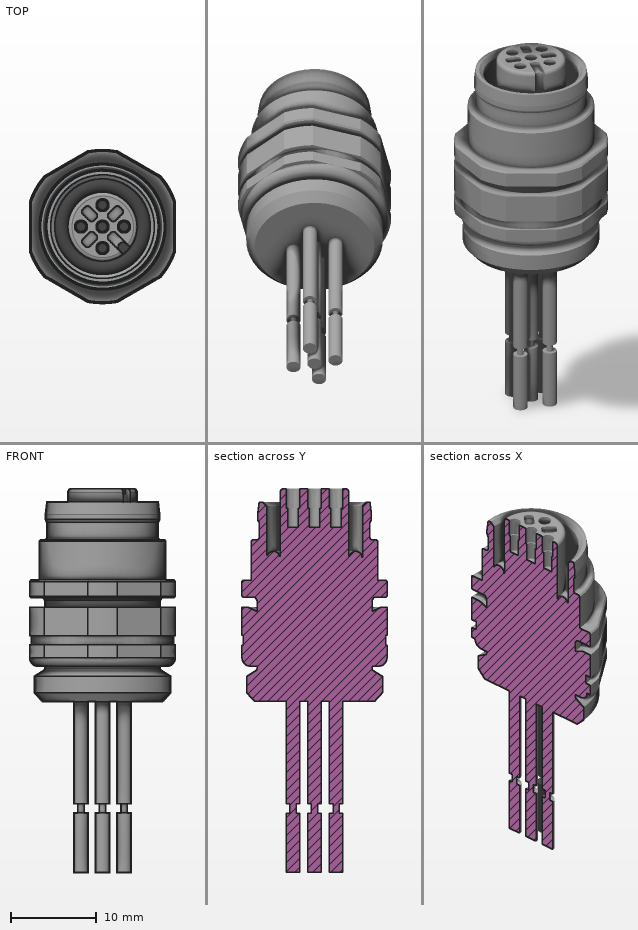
import cadquery as cq
import math

total_height = 44.9
rim_z = 43.35
collar_taper_z = 41.9
collar_chamfer_z = 41.3
collar_bottom_z = 41.17
neck_top_z = 40.95
neck_bottom_z = 39.15
body_top_z = 38.95
top_nut_z = 34.2
top_nut_bottom_z = 32.15
relief_bottom_z = 31.85
middle_nut_z = 31.03
middle_nut_bottom_z = 27.7
lower_nut_z = 26.63
lower_nut_bottom_z = 25.15
waist_z = 23.9
flange_cone_z = 23.6
flange_z = 22.95
flange_chamfer_z = 21.05
flange_bottom_z = 20.0
wire_gap_top_z = 8.05
wire_gap_bottom_z = 7.0

collar_top_d = 13.0
collar_d = 13.4
collar_bottom_d = 13.3
neck_d = 13.0
neck_fillet_d = 13.45
body_d = 14.8
body_chamfer = 0.2
thread_d = 13.5
relief_d = 13.9
spacer_d = 16.7
flange_fillet_d = 13.85
flange_d = 16.0
flange_bottom_d = 14.0

nut_across_flats = 17.0
nut_corner_d = 18.0
nut_chamfer = 0.2
countersink_d = 15.45
countersink_depth = 0.45
seal_fillet = 1.05
seal_z = lower_nut_bottom_z - seal_fillet

bore_d = 11.2
bore_mouth_d = 12.12
bore_lead_in = (bore_mouth_d - bore_d) / 2
bore_floor_z = 36.8
insert_d = 8.1
insert_fillet = 0.45

contact_pitch_r = 2.5
contact_hole_d = 1.5
contact_hole_depth = 2.25
contact_bore_d = 1.15
contact_bore_depth = 4.5
slot_w = 1.15
slot_inner_r = 1.2
slot_outer_r = 3.05
slot_corner_r = 0.35
slot_depth = 0.6
key_w = slot_w
key_center_r = 3.4
key_depth = 6.3
wire_d = 1.65
core_d = 0.75

contact_points = [(0, 0)] + [
    (contact_pitch_r * math.cos(math.radians(a)), contact_pitch_r * math.sin(math.radians(a)))
    for a in (0, 90, 180, 270)
]
slot_angles = (45, 135, 225)
key_angle = 315


def cylinder(diameter, bottom_z, top_z):
    return cq.Workplane("XY").workplane(offset=bottom_z).circle(diameter / 2).extrude(top_z - bottom_z)


def cone(bottom_d, top_d, bottom_z, top_z):
    solid = cq.Solid.makeCone(bottom_d / 2, top_d / 2, top_z - bottom_z, cq.Vector(0, 0, bottom_z))
    return cq.Workplane("XY").newObject([solid])


def nut(bottom_z, top_z):
    """Hexagon with flats facing +X and -X and its corners turned down to a cylinder."""
    corner_to_corner = nut_across_flats / math.cos(math.radians(30))
    prism = (
        cq.Workplane("XY").workplane(offset=bottom_z)
        .transformed(rotate=(0, 0, 30))
        .polygon(6, corner_to_corner).extrude(top_z - bottom_z)
    )
    return prism.intersect(cylinder(nut_corner_d, bottom_z, top_z))


def make_shell():
    """Turned body from the collar rim down to the end flange."""
    return (
        cq.Workplane("XZ")
        .moveTo(0, rim_z)
        .lineTo(collar_top_d / 2, rim_z)
        .lineTo(collar_d / 2, collar_taper_z)
        .lineTo(collar_d / 2, collar_chamfer_z)
        .lineTo(collar_bottom_d / 2, collar_bottom_z)
        .lineTo(neck_d / 2, neck_top_z)
        .lineTo(neck_d / 2, neck_bottom_z)
        .tangentArcPoint((neck_fillet_d / 2, body_top_z), relative=False)
        .lineTo(body_d / 2 - body_chamfer, body_top_z)
        .lineTo(body_d / 2, body_top_z - body_chamfer)
        .lineTo(body_d / 2, top_nut_bottom_z)
        .lineTo(relief_d / 2, top_nut_bottom_z)
        .lineTo(thread_d / 2, relief_bottom_z)
        .lineTo(thread_d / 2, waist_z)
        .tangentArcPoint((flange_fillet_d / 2, flange_cone_z), relative=False)
        .lineTo(flange_d / 2, flange_z)
        .lineTo(flange_d / 2, flange_chamfer_z)
        .lineTo(flange_bottom_d / 2, flange_bottom_z)
        .lineTo(0, flange_bottom_z)
        .close().revolve(360, (0, 0), (0, 1))
    )


def make_nuts():
    top_nut = nut(top_nut_bottom_z, top_nut_z).faces("<Z or >Z").chamfer(nut_chamfer)
    middle_nut = nut(middle_nut_bottom_z, middle_nut_z)
    middle_nut = middle_nut.cut(
        cone(thread_d, countersink_d, middle_nut_z - countersink_depth, middle_nut_z)
    )
    spacer = cylinder(spacer_d, lower_nut_z, middle_nut_bottom_z)
    lower_nut = nut(lower_nut_bottom_z, lower_nut_z)
    seal = cylinder(nut_across_flats, seal_z, lower_nut_z)
    seal = seal.faces("<Z").edges().fillet(seal_fillet)
    return top_nut.union(middle_nut).union(spacer).union(lower_nut).union(seal)


def make_bore():
    """Annular cavity around the insert; its floor is the upper half of a sealing ring."""
    cavity = cylinder(bore_d, bore_floor_z, rim_z)
    cavity = cavity.union(cone(bore_d, bore_mouth_d, rim_z - bore_lead_in, rim_z))
    ring_r = (bore_d - insert_d) / 4
    ring_center_r = (bore_d + insert_d) / 4
    ring = (
        cq.Workplane("XZ").center(ring_center_r, bore_floor_z).circle(ring_r)
        .revolve(360, (-ring_center_r, 0), (-ring_center_r, 1))
    )
    return cavity.cut(ring)


def make_insert():
    insert = cylinder(insert_d, bore_floor_z, total_height)
    return insert.faces(">Z").edges().fillet(insert_fillet)


def make_contact_holes():
    face = cq.Workplane("XY").workplane(offset=total_height).pushPoints(contact_points)
    holes = face.circle(contact_hole_d / 2).extrude(-contact_hole_depth)
    return holes.union(face.circle(contact_bore_d / 2).extrude(-contact_bore_depth))


def radial_slot(angle, outer_r):
    """Shallow slot with rounded corners, pointing away from the center contact."""
    length = outer_r - slot_inner_r
    return (
        cq.Workplane("XY").workplane(offset=total_height)
        .center(slot_inner_r + length / 2, 0)
        .rect(length, slot_w).extrude(-slot_depth)
        .edges("|Z").fillet(slot_corner_r)
        .rotate((0, 0, 0), (0, 0, 1), angle)
    )


def make_keyway():
    """Deep groove with a round inner end, open through the side of the insert."""
    half_w = key_w / 2
    open_r = insert_d / 2 + insert_fillet
    return (
        cq.Workplane("XY").workplane(offset=total_height)
        .moveTo(open_r, half_w)
        .lineTo(key_center_r, half_w)
        .threePointArc((key_center_r - half_w, 0), (key_center_r, -half_w))
        .lineTo(open_r, -half_w)
        .close().extrude(-key_depth)
        .rotate((0, 0, 0), (0, 0, 1), key_angle)
    )


def make_wires():
    """Insulated wires with a short bare core near the free end."""
    base = cq.Workplane("XY").pushPoints(contact_points)
    wires = base.circle(wire_d / 2).extrude(wire_gap_bottom_z)
    wires = wires.union(base.circle(core_d / 2).extrude(flange_bottom_z))
    upper = cq.Workplane("XY").workplane(offset=wire_gap_top_z).pushPoints(contact_points)
    return wires.union(upper.circle(wire_d / 2).extrude(flange_bottom_z - wire_gap_top_z))


insert = make_insert().cut(make_contact_holes()).cut(make_keyway())
for slot_angle in slot_angles:
    insert = insert.cut(radial_slot(slot_angle, slot_outer_r))
insert = insert.cut(radial_slot(key_angle, key_center_r))

result = make_shell().union(make_nuts()).cut(make_bore()).union(insert).union(make_wires())